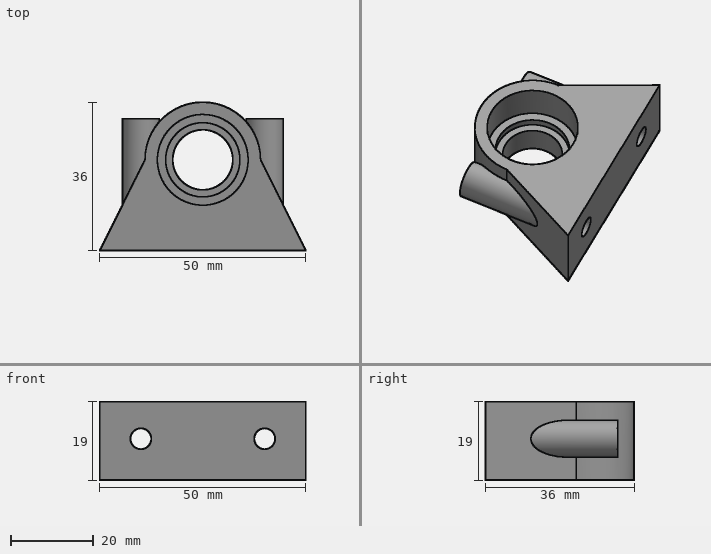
import cadquery as cq

base_width = 50.0
height = 19.0
housing_diameter = 28.0
bore_offset = 22.0

seat_diameter = 22.0
seat_depth = 9.5
relief_diameter = 18.0
relief_depth = 2.0
through_diameter = 14.5

boss_diameter = 9.0
boss_end = 32.0
screw_diameter = 5.0
screw_spacing = 30.0
screw_height = 10.0

housing_radius = housing_diameter / 2


def make_body():
    """Trapezoid with a semicircular back, extruded up from Z = 0."""
    return (
        cq.Workplane("XY")
        .moveTo(-base_width / 2, 0)
        .lineTo(base_width / 2, 0)
        .lineTo(housing_radius, bore_offset)
        .threePointArc((0, bore_offset + housing_radius), (-housing_radius, bore_offset))
        .close()
        .extrude(height)
    )


def rod_along_y(x, diameter, start, end):
    """Cylinder parallel to Y at screw height."""
    return (
        cq.Workplane("XZ", origin=(x, start, screw_height))
        .circle(diameter / 2)
        .extrude(start - end)
    )


def bore_step(diameter, floor):
    """Cylinder on the bore axis from the given floor up to the top face."""
    return (
        cq.Workplane("XY", origin=(0, bore_offset, floor))
        .circle(diameter / 2)
        .extrude(height - floor)
    )


result = make_body()

boss_start = bore_offset / 2
screw_positions = (-screw_spacing / 2, screw_spacing / 2)
for x in screw_positions:
    result = result.union(rod_along_y(x, boss_diameter, boss_start, boss_end))

for x in screw_positions:
    result = result.cut(rod_along_y(x, screw_diameter, 0, boss_end))

seat_floor = height - seat_depth
result = result.cut(bore_step(seat_diameter, seat_floor))
result = result.cut(bore_step(relief_diameter, seat_floor - relief_depth))
result = result.cut(bore_step(through_diameter, 0))